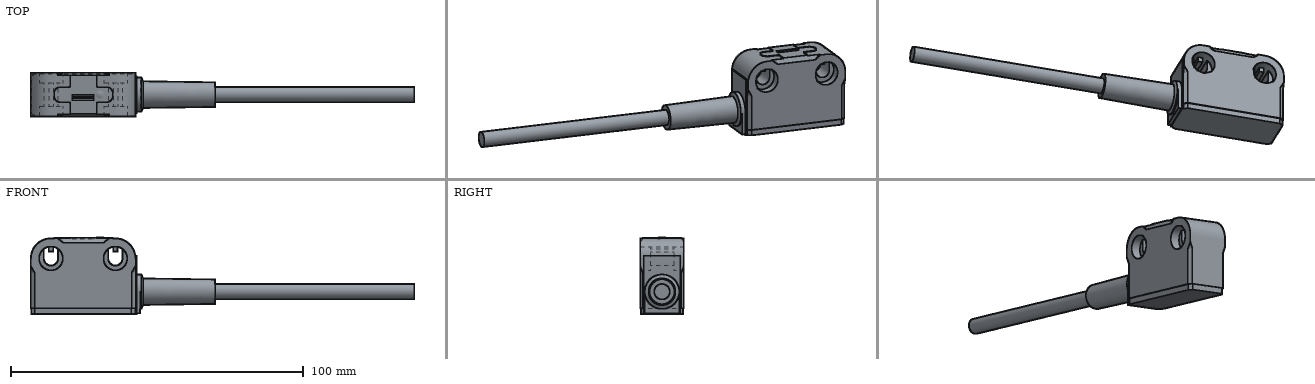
import cadquery as cq

TOTAL_LENGTH = 131.0
TOTAL_HEIGHT = 26.38
BODY_LENGTH = 35.8
BODY_DEPTH = 15.0
BODY_HEIGHT = 25.95
CORNER_RADIUS = 6.9
SIDE_Y = BODY_DEPTH / 2

BAND_HEIGHT = 2.0
BAND_STEP_X = 0.1
BAND_STEP_Y = 0.3

EDGE_CHAMFER_X = 1.3
EDGE_CHAMFER_Y = 0.9
EDGE_CHAMFER_TOP = 14.2
EDGE_RUNOUT_TOP = 16.5

PAD_THICKNESS = 0.4
PAD_WIDTH = 12.6
PAD_HEIGHT = 19.9
PAD_FACE_X = BODY_LENGTH + PAD_THICKNESS

HOLE_SPACING = BODY_LENGTH - 2 * CORNER_RADIUS
HOLE_Z = BODY_HEIGHT - CORNER_RADIUS
BORE_RADIUS = 4.05
BORE_DEPTH = 3.5
SLOT_WIDTH = 4.8
KEY_WIDTH = 1.6
KEY_LENGTH = 1.7

TOP_MID_X = 18.0
BEVEL_INSET = 0.8
BEVEL_DROP = 1.5
BEVEL_BOTTOM_LENGTH = 13.8
BEVEL_TOP_LENGTH = 18.0

FIELD_RISE = 0.2
FIELD_LENGTH = 20.1
FIELD_ARM_WIDTH = 5.2
FIELD_BAR_LENGTH = 9.0
FIELD_END_RADIUS = 2.2
FIELD_INNER_RADIUS = 0.4
FIELD_TOP = BODY_HEIGHT + FIELD_RISE
GROOVE_START_X = 14.2
GROOVE_LENGTH = 7.4
GROOVE_Y = -1.0
GROOVE_TOP_WIDTH = 1.8
GROOVE_FLOOR_WIDTH = 0.5
GROOVE_DEPTH = 0.4
LAMP_X = 23.6
LAMP_RADIUS = 1.35
LAMP_RISE = TOTAL_HEIGHT - FIELD_TOP

CABLE_Z = 7.7
CABLE_RADIUS = 2.65
FLANGE_RADIUS = 5.9
FLANGE_PLATE_END_X = 37.4
FLANGE_RIM_END_X = 37.8
FLANGE_BOTTOM_Z = 0.3
SLEEVE_START_X = 38.4
SLEEVE_END_X = 63.0
SLEEVE_START_RADIUS = 4.6
SLEEVE_END_RADIUS = 4.25


def block(x_min, x_max, width, z_min, z_max):
    """Box centred on Y = 0."""
    box = cq.Workplane().box(x_max - x_min, width, z_max - z_min, centered=(False, True, False))
    return box.translate((x_min, 0, z_min))


def chamfer_outline(corner_x, corner_y):
    """Plan of the triangle cut off the left, -Y corner of a block."""
    return [
        (corner_x, corner_y),
        (corner_x + EDGE_CHAMFER_X, corner_y),
        (corner_x, corner_y + EDGE_CHAMFER_Y),
    ]


def cut_all_corners(body, wedge):
    """Remove a wedge from all four vertical edges of the block."""
    for corner in (wedge, wedge.mirror("YZ", (BODY_LENGTH / 2, 0, 0))):
        body = body.cut(corner).cut(corner.mirror("XZ"))
    return body


def body_block():
    """Main block with two round top corners, standing on a stepped-in band."""
    main = block(0, BODY_LENGTH, BODY_DEPTH, BAND_HEIGHT, BODY_HEIGHT)
    main = main.edges("|Y and >Z").fillet(CORNER_RADIUS)
    band_depth = BODY_DEPTH - 2 * BAND_STEP_Y
    band = block(BAND_STEP_X, BODY_LENGTH - BAND_STEP_X, band_depth, 0, BAND_HEIGHT)
    band_outline = chamfer_outline(BAND_STEP_X, -SIDE_Y + BAND_STEP_Y)
    band_wedge = cq.Workplane().polyline(band_outline).close().extrude(BAND_HEIGHT)
    return cut_all_corners(main, edge_chamfer()).union(cut_all_corners(band, band_wedge))


def edge_chamfer():
    """Wedge removed from the left, -Y vertical edge, with a pointed runout at its top."""
    outline = chamfer_outline(0, -SIDE_Y)
    straight = cq.Workplane().polyline(outline).close().extrude(EDGE_CHAMFER_TOP)
    corners = [cq.Vector(x, y, EDGE_CHAMFER_TOP) for x, y in outline]
    tip = cq.Vector(0, -SIDE_Y, EDGE_RUNOUT_TOP)
    rings = [
        corners,
        [corners[0], corners[1], tip],
        [corners[1], corners[2], tip],
        [corners[2], corners[0], tip],
    ]
    faces = [cq.Face.makeFromWires(cq.Wire.makePolygon(ring, close=True)) for ring in rings]
    runout = cq.Solid.makeSolid(cq.Shell.makeShell(faces))
    return straight.union(cq.Workplane(runout))


def top_bevel():
    """Bevel removed from the -Y top edge, with slanted ends."""
    field_inner_y = -SIDE_Y + BEVEL_INSET * (BEVEL_DROP + FIELD_RISE) / BEVEL_DROP
    slope = (
        cq.Workplane("YZ")
        .polyline([
            (-SIDE_Y, BODY_HEIGHT - BEVEL_DROP),
            (field_inner_y, FIELD_TOP),
            (-SIDE_Y, FIELD_TOP),
        ])
        .close()
        .extrude(BODY_LENGTH)
    )
    half_bottom = BEVEL_BOTTOM_LENGTH / 2
    half_top = BEVEL_TOP_LENGTH / 2
    span = (
        cq.Workplane("XZ")
        .polyline([
            (TOP_MID_X - half_bottom, BODY_HEIGHT - BEVEL_DROP),
            (TOP_MID_X + half_bottom, BODY_HEIGHT - BEVEL_DROP),
            (TOP_MID_X + half_top, FIELD_TOP),
            (TOP_MID_X - half_top, FIELD_TOP),
        ])
        .close()
        .extrude(SIDE_Y, both=True)
    )
    return slope.intersect(span)


def top_field():
    """Cross-shaped raised field: a long rounded arm along X and a bar across Y."""
    half_arm = FIELD_LENGTH / 2
    half_bar = FIELD_BAR_LENGTH / 2
    arm = block(TOP_MID_X - half_arm, TOP_MID_X + half_arm, FIELD_ARM_WIDTH, BODY_HEIGHT, FIELD_TOP)
    arm = arm.edges("|Z").fillet(FIELD_END_RADIUS)
    bar = block(TOP_MID_X - half_bar, TOP_MID_X + half_bar, BODY_DEPTH, BODY_HEIGHT, FIELD_TOP)
    reach_x = half_bar + FIELD_INNER_RADIUS
    reach_y = FIELD_ARM_WIDTH / 2 + FIELD_INNER_RADIUS
    inner_corners = cq.selectors.BoxSelector(
        (TOP_MID_X - reach_x, -reach_y, BODY_HEIGHT),
        (TOP_MID_X + reach_x, reach_y, FIELD_TOP),
    )
    return arm.union(bar).edges("|Z").edges(inner_corners).fillet(FIELD_INNER_RADIUS)


def marking_groove():
    """Straight groove with sloping sides beside the lamp."""
    half_top = GROOVE_TOP_WIDTH / 2
    half_floor = GROOVE_FLOOR_WIDTH / 2
    return (
        cq.Workplane("YZ", origin=(GROOVE_START_X, GROOVE_Y, FIELD_TOP))
        .polyline([
            (-half_top, 0),
            (half_top, 0),
            (half_floor, -GROOVE_DEPTH),
            (-half_floor, -GROOVE_DEPTH),
        ])
        .close()
        .extrude(GROOVE_LENGTH)
    )


def lamp():
    """Shallow domed lamp."""
    return (
        cq.Workplane("XZ", origin=(LAMP_X, 0, FIELD_TOP))
        .moveTo(0, -FIELD_RISE)
        .lineTo(LAMP_RADIUS, -FIELD_RISE)
        .lineTo(LAMP_RADIUS, 0)
        .radiusArc((0, LAMP_RISE), -(LAMP_RADIUS**2 + LAMP_RISE**2) / (2 * LAMP_RISE))
        .close()
        .revolve(360, (0, 0, 0), (0, 1, 0))
    )


def mounting_hole(x):
    """Bore from both sides, joined by an upright slot with a key hanging from its top."""
    plane = cq.Workplane("XZ", origin=(x, 0, HOLE_Z))
    bore = plane.circle(BORE_RADIUS).extrude(SIDE_Y, both=True)
    web = block(x - BORE_RADIUS, x + BORE_RADIUS, BODY_DEPTH - 2 * BORE_DEPTH, 0, BODY_HEIGHT)
    slot = plane.circle(SLOT_WIDTH / 2).extrude(SIDE_Y, both=True)
    slot = slot.union(block(x - SLOT_WIDTH / 2, x + SLOT_WIDTH / 2, BODY_DEPTH, HOLE_Z, BODY_HEIGHT))
    key_bottom = HOLE_Z + BORE_RADIUS - KEY_LENGTH
    key = block(x - KEY_WIDTH / 2, x + KEY_WIDTH / 2, BODY_DEPTH, key_bottom, BODY_HEIGHT)
    return bore.cut(web.cut(slot.cut(key)))


def make_housing():
    body = body_block()
    mid_x = BODY_LENGTH / 2
    body = body.union(block(mid_x, PAD_FACE_X, PAD_WIDTH, 0, PAD_HEIGHT))
    body = body.union(top_field())
    bevel = top_bevel()
    body = body.cut(bevel).cut(bevel.mirror("XZ"))
    for side in (-1, 1):
        body = body.cut(mounting_hole(mid_x + side * HOLE_SPACING / 2))
    return body.cut(marking_groove()).union(lamp())


def make_cable():
    """Cable, tapered sleeve and flange as one turned shape, with a foot below the flange."""
    turned = (
        cq.Workplane("XY", origin=(0, 0, CABLE_Z))
        .polyline([
            (PAD_FACE_X, 0),
            (PAD_FACE_X, FLANGE_RADIUS),
            (FLANGE_RIM_END_X, FLANGE_RADIUS),
            (SLEEVE_START_X, SLEEVE_START_RADIUS),
            (SLEEVE_END_X, SLEEVE_END_RADIUS),
            (SLEEVE_END_X, CABLE_RADIUS),
            (TOTAL_LENGTH, CABLE_RADIUS),
            (TOTAL_LENGTH, 0),
        ])
        .close()
        .revolve(360, (0, 0, 0), (1, 0, 0))
    )
    foot = block(PAD_FACE_X, FLANGE_PLATE_END_X, 2 * FLANGE_RADIUS, FLANGE_BOTTOM_Z, CABLE_Z)
    return turned.union(foot)


housing = make_housing()
cable = make_cable()

result = cq.Compound.makeCompound([housing.val(), cable.val()])